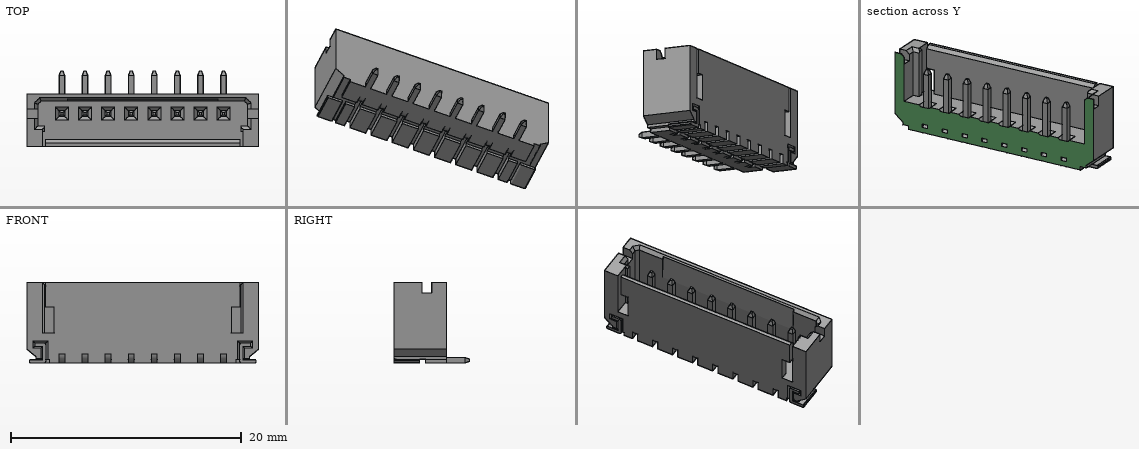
import cadquery as cq
import math

length = 20.1
depth = 4.56
height = 7.0
half_length = length / 2

base_z = 0.32
skirt_top_z = 1.2
skirt_bottom_z = 0.56
skirt_inset = 0.78
front_bar_inset = 1.95
rear_bar_inset = 1.37
front_bar_depth = 2.23
rear_bar_start = 2.71

floor_z = 2.6
side_wall = 0.96
back_wall = 0.62
front_wall = 0.62
rim_chamfer = 0.3
corner_cut = 0.28
lip_reach = 1.55
lip_front = 1.3
lip_back = 1.79
lip_chamfer = 0.2
post_width = 1.35
back_relief_inset = 3.54
back_relief_depth = 0.18
back_relief_bottom_z = 4.48

front_slit_end = 1.63
window_end = 2.37
window_top_z = 4.85
side_notch_front = 2.45
side_notch_width = 0.8
side_notch_depth = 0.9

pin_count = 8
pin_row_span = 14.0
pitch = pin_row_span / (pin_count - 1)
pin_size = 0.5
pin_y = 2.85
pin_top_z = 5.87
tail_end_y = 6.55
tip_length = 0.4
tip_size = 0.2
bend_radius = 0.8
funnel_size = 1.13
funnel_depth = 0.32

clip_thickness = 0.3
clip_foot_inset = 0.22
clip_hook_inset = 0.7
clip_upright_inset = 1.65
clip_top_z = 1.75
clip_bend_radius = 0.16
clip_tip_chamfer = 0.08
mouth_outer = 0.18
mouth_inner = 0.12
mouth_depth = 0.18


def box(x_min, x_max, y_min, y_max, z_min, z_max):
    return cq.Workplane("XY").box(
        x_max - x_min, y_max - y_min, z_max - z_min, centered=False
    ).translate((x_min, y_min, z_min))


def on_both_ends(left_shape):
    return left_shape.union(left_shape.mirror("YZ"))


def front_profile(points, start_y, end_y):
    """Extrude an XZ outline from start_y back to end_y."""
    outline = cq.Workplane("XZ", origin=(0, start_y, 0)).polyline(points).close()
    return outline.extrude(start_y - end_y)


def housing_block():
    lower_x = half_length - skirt_inset
    block = front_profile(
        [
            (-half_length, height),
            (-half_length, skirt_top_z),
            (-lower_x, skirt_bottom_z),
            (-lower_x, base_z),
            (lower_x, base_z),
            (lower_x, skirt_bottom_z),
            (half_length, skirt_top_z),
            (half_length, height),
        ],
        0,
        depth,
    )
    front_x = half_length - front_bar_inset
    rear_x = half_length - rear_bar_inset
    block = block.union(box(-front_x, front_x, 0, front_bar_depth, 0, base_z))
    return block.union(box(-rear_x, rear_x, rear_bar_start, depth, 0, base_z))


def cavity_outline(outset, z):
    """Main cavity outline, moved outwards by outset, at height z."""
    x = half_length - side_wall + outset
    y_front = lip_back - outset
    y_back = depth - back_wall + outset
    cut = corner_cut + outset * (2 - math.sqrt(2))
    return cq.Workplane("XY", origin=(0, 0, z)).polyline(
        [
            (-x, y_front),
            (x, y_front),
            (x, y_back - cut),
            (x - cut, y_back),
            (-x + cut, y_back),
            (-x, y_back - cut),
        ]
    ).close()


def cavity():
    rim_z = height - rim_chamfer
    main = cavity_outline(0, floor_z).extrude(height - floor_z)
    lower = cavity_outline(0, rim_z).wires().val()
    upper = cavity_outline(rim_chamfer, height).wires().val()
    rim = cq.Workplane(cq.Solid.makeLoft([lower, upper], True))

    lip_x = half_length - lip_reach
    front = box(-lip_x, lip_x, front_wall, lip_back, floor_z, height)
    lip_bevel = front_profile(
        [
            (-lip_x, height),
            (-lip_x - lip_chamfer, height),
            (-lip_x, height - lip_chamfer),
        ],
        lip_front,
        lip_back,
    )
    front_bevel_x = half_length - front_slit_end
    front_bevel = (
        cq.Workplane("YZ", origin=(-front_bevel_x, 0, 0))
        .polyline(
            [
                (front_wall, height),
                (front_wall - rim_chamfer, height),
                (front_wall, rim_z),
            ]
        )
        .close()
        .extrude(2 * front_bevel_x)
    )
    return main.union(rim).union(front).union(on_both_ends(lip_bevel)).union(front_bevel)


def back_relief():
    x = half_length - back_relief_inset
    y_face = depth - back_wall
    return (
        cq.Workplane("YZ", origin=(-x, 0, 0))
        .polyline(
            [
                (y_face, height),
                (y_face, back_relief_bottom_z),
                (y_face + back_relief_depth, height),
            ]
        )
        .close()
        .extrude(2 * x)
    )


def front_openings():
    post_x = -half_length + post_width
    slit = box(post_x, -half_length + front_slit_end, 0, lip_front, floor_z, height)
    window = box(post_x, -half_length + window_end, 0, lip_front, floor_z, window_top_z)
    return on_both_ends(slit.union(window))


def side_notches():
    return box(
        -half_length,
        half_length,
        side_notch_front,
        side_notch_front + side_notch_width,
        height - side_notch_depth,
        height,
    ).intersect(on_both_ends(box(-half_length, -half_length + side_wall, 0, depth, 0, height)))


def pin_funnel(x):
    return (
        cq.Workplane("XY", origin=(x, pin_y, floor_z - funnel_depth))
        .rect(pin_size, pin_size)
        .workplane(offset=funnel_depth)
        .rect(funnel_size, funnel_size)
        .loft(ruled=True)
    )


def pin_channel(x):
    """Channel under the housing, from the front face to the end of the pin bend."""
    bend_end_y = pin_y - pin_size / 2 + bend_radius
    return box(x - pin_size / 2, x + pin_size / 2, 0, bend_end_y, 0, bend_radius)


def pin(x):
    outer_y = pin_y - pin_size / 2
    inner_y = pin_y + pin_size / 2
    inner_radius = bend_radius - pin_size
    diagonal = math.sqrt(0.5)
    center_y = outer_y + bend_radius
    shoulder_z = pin_top_z - tip_length
    shoulder_y = tail_end_y - tip_length
    bar = (
        cq.Workplane("YZ", origin=(x - pin_size / 2, 0, 0))
        .moveTo(outer_y, shoulder_z)
        .lineTo(outer_y, bend_radius)
        .threePointArc(
            (center_y - bend_radius * diagonal, bend_radius * (1 - diagonal)),
            (center_y, 0),
        )
        .lineTo(shoulder_y, 0)
        .lineTo(shoulder_y, pin_size)
        .lineTo(center_y, pin_size)
        .threePointArc(
            (center_y - inner_radius * diagonal, bend_radius - inner_radius * diagonal),
            (inner_y, bend_radius),
        )
        .lineTo(inner_y, shoulder_z)
        .close()
        .extrude(pin_size)
    )
    top_tip = pin_tip(cq.Workplane("XY", origin=(x, pin_y, shoulder_z)))
    tail_plane = cq.Plane(origin=(x, shoulder_y, pin_size / 2), xDir=(1, 0, 0), normal=(0, 1, 0))
    return bar.union(top_tip).union(pin_tip(cq.Workplane(tail_plane)))


def pin_tip(workplane):
    """Square taper at the end of a pin, pointing along the normal of the workplane."""
    return (
        workplane.rect(pin_size, pin_size)
        .workplane(offset=tip_length)
        .rect(tip_size, tip_size)
        .loft(ruled=True)
    )


def clip_outline(outer_margin, inner_margin, foot_tip_x):
    """Left clip outline, grown on the outside and the inside of its bends."""
    hook_x = -half_length + clip_hook_inset - outer_margin
    inner_x = -half_length + clip_upright_inset + outer_margin
    outer_x = -half_length + clip_upright_inset - clip_thickness - inner_margin
    top_z = clip_top_z + outer_margin
    hook_z = clip_top_z - clip_thickness - inner_margin
    foot_z = clip_thickness + inner_margin
    return [
        (hook_x, top_z),
        (inner_x, top_z),
        (inner_x, 0),
        (foot_tip_x, 0),
        (foot_tip_x, foot_z),
        (outer_x, foot_z),
        (outer_x, hook_z),
        (hook_x, hook_z),
    ]


def clip_mouth():
    """Bevelled recess around the clip in the front face, open to the side and the underside."""
    opening = clip_outline(mouth_outer, mouth_inner, -half_length)
    seat = clip_outline(0, 0, -half_length)
    return (
        cq.Workplane("XZ")
        .polyline(opening)
        .close()
        .workplane(offset=-mouth_depth)
        .polyline(seat)
        .close()
        .loft(ruled=True)
    )


def clip():
    foot_tip_x = -half_length + clip_foot_inset
    shape = front_profile(clip_outline(0, 0, foot_tip_x), 0, front_bar_depth)
    shape = shape.edges("|Y and >X").fillet(clip_bend_radius)
    return shape.edges("|Y and <X").chamfer(clip_tip_chamfer)


pin_positions = [i * pitch - pin_row_span / 2 for i in range(pin_count)]

result = housing_block().cut(cavity()).cut(back_relief()).cut(front_openings()).cut(side_notches())
for x in pin_positions:
    result = result.cut(pin_funnel(x)).cut(pin_channel(x))
result = result.cut(on_both_ends(clip_mouth()))
for x in pin_positions:
    result = result.union(pin(x))
result = result.union(on_both_ends(clip()))